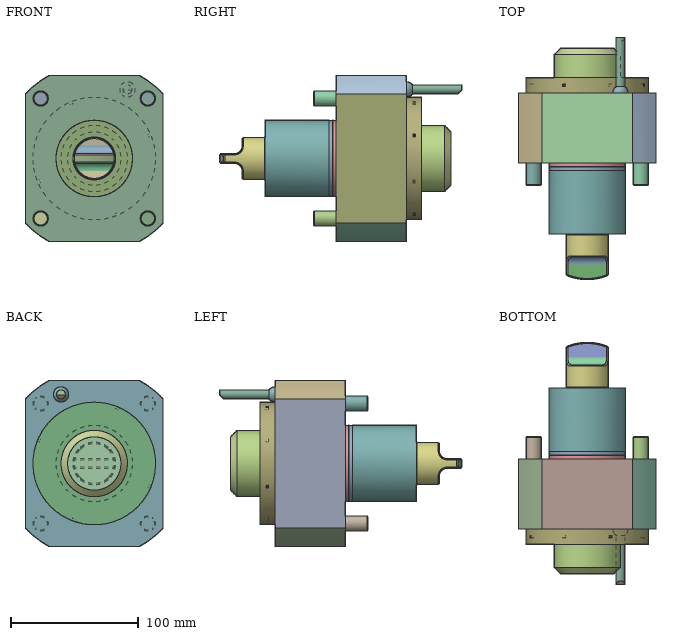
import cadquery as cq
import math


block_width = 108.0
block_height = 130.0
block_depth = 55.0
corner_radius = 74.0

flange_diameter = 96.0
flange_length = 12.0
nose_diameter = 52.0
nose_length = 23.0
nose_chamfer = 5.1
marker_diameter = 2.0
marker_depth = 1.9
marker_count = 4
marker_start_angle = 22.5

barrel_diameter = 60.0
barrel_length = 55.5
relief_diameter = 59.8
relief_end = 5.7
rib_start = 2.5
rib_width = 0.5
collar_diameter = 33.5
collar_length = 0.5

shank_diameter = 33.0
step_y = -73.6
tip_y = -91.2
tang_thickness = 7.5
tang_root_radius = 6.0
tang_tip_radius = 42.9
tang_chamfer = 1.0

pin_diameter = 12.0
pin_length = 17.6
pin_chamfer = 0.8
pin_spacing_x = 83.8
pin_spacing_z = 93.9

tube_x = 26.0
tube_z = 54.0
tube_diameter = 7.0
tube_end_y = 98.5
tube_bevel = 3.0
gland_diameter = 12.0


def cylinder_y(diameter, start_y, end_y, x=0.0, z=0.0):
    """Cylinder parallel to Y, running from start_y to a larger end_y."""
    base = cq.Vector(x, start_y, z)
    along_y = cq.Vector(0, 1, 0)
    return cq.Workplane(cq.Solid.makeCylinder(diameter / 2, end_y - start_y, base, along_y))


def make_block():
    box = cq.Workplane("XY").box(block_width, block_depth, block_height).translate((0, block_depth / 2, 0))
    return box.intersect(cylinder_y(2 * corner_radius, 0, block_depth))


def make_flange_and_nose():
    flange_end = block_depth + flange_length
    flange = cylinder_y(flange_diameter, block_depth, flange_end)
    for index in range(marker_count):
        angle = math.radians(marker_start_angle + index * 360 / marker_count)
        outward = cq.Vector(math.cos(angle), 0, math.sin(angle))
        centre = cq.Vector(0, block_depth + flange_length / 2, 0)
        floor = centre + outward * (flange_diameter / 2 - marker_depth)
        marker_hole = cq.Solid.makeCylinder(marker_diameter / 2, 2 * marker_depth, floor, outward)
        flange = flange.cut(cq.Workplane(marker_hole))
    nose = cylinder_y(nose_diameter, flange_end, flange_end + nose_length).faces(">Y").chamfer(nose_chamfer)
    return flange.union(nose)


def make_barrel():
    barrel = cylinder_y(relief_diameter, -relief_end, 0)
    rib = cylinder_y(barrel_diameter, -rib_start - rib_width, -rib_start)
    main_body = cylinder_y(barrel_diameter, -barrel_length, -relief_end)
    collar = cylinder_y(collar_diameter, -barrel_length - collar_length, -barrel_length)
    return barrel.union(rib).union(main_body).union(collar)


def make_shank():
    shank = cylinder_y(shank_diameter, tip_y, -barrel_length)

    tip_round = (
        cq.Workplane("XY")
        .circle(tang_tip_radius)
        .extrude(shank_diameter / 2, both=True)
        .translate((0, tip_y + tang_tip_radius, 0))
    )
    shank = shank.intersect(tip_round)

    half_tang = tang_thickness / 2
    clearance = shank_diameter
    round_y = step_y - tang_root_radius
    round_z = half_tang + tang_root_radius
    diagonal = tang_root_radius * math.sqrt(0.5)
    upper_cut = (
        cq.Workplane("YZ")
        .moveTo(tip_y - clearance, half_tang)
        .lineTo(round_y, half_tang)
        .threePointArc((round_y + diagonal, round_z - diagonal), (step_y, round_z))
        .lineTo(step_y, clearance)
        .lineTo(tip_y - clearance, clearance)
        .close()
        .extrude(clearance, both=True)
    )
    shank = shank.cut(upper_cut).cut(upper_cut.mirror("XY"))

    front_region = cq.selectors.BoxSelector(
        (-clearance, tip_y - clearance, -clearance),
        (clearance, step_y + tang_chamfer, clearance),
    )
    return shank.edges(front_region).edges("not |X").chamfer(tang_chamfer)


def make_pins():
    pin = cylinder_y(pin_diameter, -pin_length, 0).faces("<Y").chamfer(pin_chamfer)
    pins = cq.Workplane("XY")
    for x in (-pin_spacing_x / 2, pin_spacing_x / 2):
        for z in (-pin_spacing_z / 2, pin_spacing_z / 2):
            pins = pins.add(pin.translate((x, 0, z)))
    return pins.combine()


def make_tube():
    tube = cylinder_y(tube_diameter, block_depth, tube_end_y, tube_x, tube_z)
    bottom_z = tube_z - tube_diameter / 2
    bevel = (
        cq.Workplane("YZ", origin=(tube_x, 0, 0))
        .moveTo(tube_end_y, bottom_z)
        .lineTo(tube_end_y, bottom_z + tube_bevel)
        .lineTo(tube_end_y - tube_bevel, bottom_z)
        .close()
        .extrude(tube_diameter, both=True)
    )
    gland = cq.Workplane("XY").sphere(gland_diameter / 2).translate((tube_x, block_depth, tube_z))
    return tube.cut(bevel).union(gland)


result = (
    make_block()
    .union(make_flange_and_nose())
    .union(make_barrel())
    .union(make_shank())
    .union(make_pins())
    .union(make_tube())
)